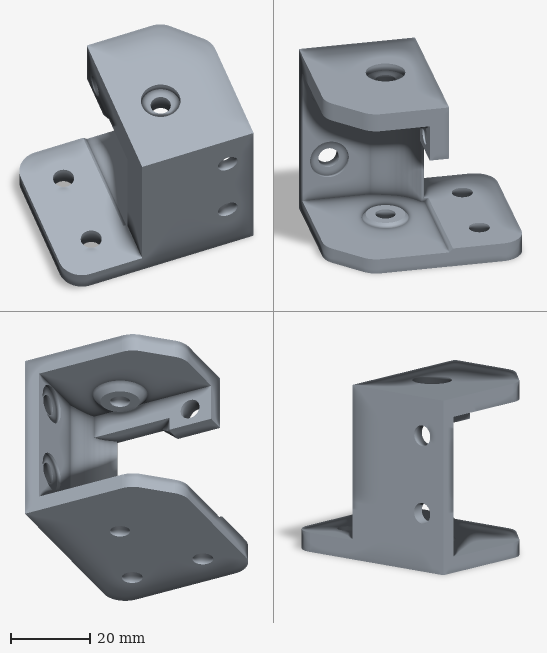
import cadquery as cq

width = 40.0
depth = 50.0
height = 45.0
corner_radius = 6.0
corner_cut = 10.0

foot_thickness = 5.0
recess_floor = 4.0
top_thickness = 4.8
ceiling = height - top_thickness
side_wall = 4.0
wall_face = width - side_wall
front_face = 20.0
arm_thickness = 5.0
arm_back = front_face + arm_thickness
arm_bottom = 30.5

pivot_x = 22.5
pivot_y = 31.5
swing_radius = 12.5
wall_tangent_y = 27.5
wall_straight_y = 32.5

window_top = 34.0
window_half_width = 6.95
window_rounding = 0.55
rounding_bulge = 0.15
arm_slope_start = 12.0

recess_end = 29.0
ramp_length = 1.0

pivot_hole = 5.1
screw_hole = 5.3
counterbore = 10.0
top_counterbore_depth = 2.0
side_counterbore_depth = 1.0
boss_radius = 5.0
upper_boss_height = 2.0
lower_boss_height = foot_thickness - recess_floor
foot_hole_spacing = 20.0
foot_hole_y = 10.0
side_hole_y = 43.0
side_hole_heights = (15.0, 35.0)
arm_hole_x = 6.0
arm_hole_z = 35.0


def box(x0, x1, y0, y1, z0, z1):
    """Box between two opposite corners."""
    return cq.Workplane("XY").box(x1 - x0, y1 - y0, z1 - z0, centered=False).translate((x0, y0, z0))


def vertical_cylinder(diameter, x, y, z0, z1):
    """Cylinder along Z between two heights."""
    return cq.Workplane("XY", origin=(x, y, z0)).circle(diameter / 2).extrude(z1 - z0)


def outer_block():
    """Foot and upper body, with the rounded corner cut shared by both."""
    blank = box(0, width, 0, depth, 0, height)
    blank = blank.edges("|Z and <X and >Y").chamfer(corner_cut)
    blank = blank.faces("<(1, -1, 0)").edges("|Z").fillet(corner_radius)
    blank = blank.edges("|Z and <Y").fillet(corner_radius)
    return blank.cut(box(0, width, 0, front_face, foot_thickness, height))


def swing_cavity():
    """Open space between the plates: a round clearance blending into the flat side wall."""
    clearance = vertical_cylinder(2 * swing_radius, pivot_x, pivot_y, recess_floor, ceiling)
    rise = pivot_y - wall_tangent_y
    run = (swing_radius**2 - rise**2) ** 0.5
    tangent_x = pivot_x + run
    open_area = (
        cq.Workplane("XY", origin=(0, 0, recess_floor))
        .moveTo(0, arm_back)
        .lineTo(pivot_x, arm_back)
        .lineTo(pivot_x, wall_tangent_y)
        .lineTo(tangent_x, wall_tangent_y)
        .lineTo(wall_face, wall_straight_y)
        .lineTo(wall_face, depth)
        .lineTo(0, depth)
        .close()
        .extrude(ceiling - recess_floor)
    )
    arm_zone = box(0, width, 0, arm_back, window_top, height)
    foot_zone = box(0, width, 0, front_face, 0, foot_thickness)
    under_arm = box(0, pivot_x, front_face, arm_back, recess_floor, arm_bottom)
    return clearance.cut(arm_zone).cut(foot_zone).union(open_area).union(under_arm)


def front_window():
    """Window with rounded sides joining the cavity to the front, plus the slope under the arm."""
    inner_half = window_half_width - window_rounding
    inner_y = pivot_y - (swing_radius**2 - inner_half**2) ** 0.5
    mid_half = (window_half_width + inner_half) / 2 - rounding_bulge
    mid_y = (front_face + inner_y) / 2 - rounding_bulge
    window = (
        cq.Workplane("XY", origin=(0, 0, foot_thickness))
        .moveTo(pivot_x - window_half_width, front_face)
        .lineTo(pivot_x + window_half_width, front_face)
        .threePointArc((pivot_x + mid_half, mid_y), (pivot_x + inner_half, inner_y))
        .lineTo(pivot_x - inner_half, inner_y)
        .threePointArc((pivot_x - mid_half, mid_y), (pivot_x - window_half_width, front_face))
        .close()
        .extrude(window_top - foot_thickness)
    )
    slope = (
        cq.Workplane("XZ", origin=(0, front_face, 0))
        .moveTo(arm_slope_start, arm_bottom)
        .lineTo(pivot_x, arm_bottom)
        .lineTo(pivot_x, window_top)
        .lineTo(pivot_x - inner_half, window_top)
        .close()
        .extrude(-arm_thickness)
    )
    return window.union(slope)


def foot_recess():
    """Lowered floor in front of the cavity, ending in a ramp up to the foot."""
    return (
        cq.Workplane("YZ")
        .moveTo(front_face, recess_floor)
        .lineTo(arm_back, recess_floor)
        .lineTo(arm_back, foot_thickness)
        .lineTo(front_face - ramp_length, foot_thickness)
        .close()
        .extrude(recess_end)
    )


def pivot_boss(z_root, rise):
    """Conical boss with 45 degree flanks; a negative rise points it downward."""
    return (
        cq.Workplane("XZ", origin=(0, pivot_y, 0))
        .moveTo(pivot_x, z_root)
        .lineTo(pivot_x + boss_radius + abs(rise), z_root)
        .lineTo(pivot_x + boss_radius, z_root + rise)
        .lineTo(pivot_x, z_root + rise)
        .close()
        .revolve(360, (pivot_x, 0, 0), (pivot_x, 1, 0))
    )


def side_hole(z):
    """Counterbored screw hole through the side wall."""
    plane = cq.Workplane("YZ", origin=(wall_face, side_hole_y, z))
    return plane.circle(screw_hole / 2).extrude(side_wall).union(
        plane.circle(counterbore / 2).extrude(side_counterbore_depth))


result = outer_block().cut(swing_cavity()).cut(front_window()).cut(foot_recess())
result = result.union(pivot_boss(recess_floor, lower_boss_height))
result = result.union(pivot_boss(ceiling, -upper_boss_height))

result = result.cut(vertical_cylinder(pivot_hole, pivot_x, pivot_y, 0, height))
result = result.cut(
    vertical_cylinder(counterbore, pivot_x, pivot_y, height - top_counterbore_depth, height))

for side in (-1, 1):
    hole_x = width / 2 + side * foot_hole_spacing / 2
    result = result.cut(vertical_cylinder(screw_hole, hole_x, foot_hole_y, 0, foot_thickness))

for hole_z in side_hole_heights:
    result = result.cut(side_hole(hole_z))

arm_hole = cq.Workplane("XZ", origin=(arm_hole_x, front_face, arm_hole_z))
result = result.cut(arm_hole.circle(screw_hole / 2).extrude(-arm_thickness))